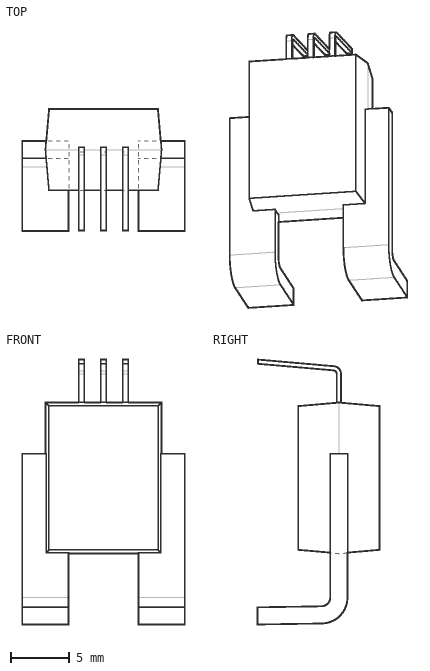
import cadquery as cq
import math

housing_width = 10.0
housing_height = 13.0
housing_depth = 7.0
draft_angle = 5.0
housing_bottom = 6.12
housing_mid = housing_bottom + housing_height / 2
housing_top = housing_bottom + housing_height

leg_width = 4.0
leg_span = 14.0
leg_thickness = 1.5
leg_top = 14.72
leg_inner_radius = 0.75
leg_end = -7.01
leg_bottom = 0
foot_slope = -0.9

pin_count = 3
pin_pitch = 1.9
pin_width = 0.5
pin_thickness = 0.381
pin_inner_radius = 0.3
pin_end = -6.98
pin_slope = 5.0
pin_top = 22.82
pin_bottom = housing_top


def bent_strip(width, thickness, inner_radius, start, bend, tip, slope, side):
    """Strip centred on X = 0, running along Z from start and then bending toward -Y.

    bend is the Z level of the bend centre. side is +1 when the strip bends at its
    upper end and -1 when it bends at its lower end. slope is the rise, in degrees,
    of the bent stretch toward its vertically cut tip.
    """
    rise = math.radians(slope)
    outer_radius = inner_radius + thickness
    center = thickness / 2 - outer_radius

    def on_bend(radius, angle):
        return (center + radius * math.cos(angle), bend + side * radius * math.sin(angle))

    def at_tip(point):
        return (tip, point[1] + (point[0] - tip) * math.tan(rise))

    end_angle = math.pi / 2 - side * rise
    outer_end = on_bend(outer_radius, end_angle)
    inner_end = on_bend(inner_radius, end_angle)
    return (
        cq.Workplane("YZ", origin=(-width / 2, 0, 0))
        .moveTo(thickness / 2, start)
        .lineTo(*on_bend(outer_radius, 0))
        .threePointArc(on_bend(outer_radius, end_angle / 2), outer_end)
        .lineTo(*at_tip(outer_end))
        .lineTo(*at_tip(inner_end))
        .lineTo(*inner_end)
        .threePointArc(on_bend(inner_radius, end_angle / 2), on_bend(inner_radius, 0))
        .lineTo(-thickness / 2, start)
        .close()
        .extrude(width)
    )


def bend_level(thickness, inner_radius, extreme, tip, slope, side):
    """Z level of the bend centre that puts the outer corner of the tip at extreme."""
    rise = math.radians(slope)
    outer_radius = inner_radius + thickness
    center = thickness / 2 - outer_radius
    return extreme - side * outer_radius / math.cos(rise) - (center - tip) * math.tan(rise)


def make_leg(x):
    bend = bend_level(leg_thickness, leg_inner_radius, leg_bottom, leg_end, foot_slope, -1)
    leg = bent_strip(
        leg_width, leg_thickness, leg_inner_radius, leg_top, bend, leg_end, foot_slope, -1
    )
    return leg.translate((x, 0, 0))


def make_housing():
    """Moulded block with both power legs fused into it."""
    front_half = (
        cq.Workplane("XZ", origin=(0, 0, housing_mid))
        .rect(housing_width, housing_height)
        .extrude(housing_depth / 2, taper=draft_angle)
    )
    housing = front_half.union(front_half.mirror("XZ"))
    leg_offset = (leg_span - leg_width) / 2
    for side in (-1, 1):
        housing = housing.union(make_leg(side * leg_offset))
    return housing


def make_pin(x):
    bend = bend_level(pin_thickness, pin_inner_radius, pin_top, pin_end, pin_slope, 1)
    pin = bent_strip(
        pin_width, pin_thickness, pin_inner_radius, pin_bottom, bend, pin_end, pin_slope, 1
    )
    return pin.translate((x, 0, 0))


housing = make_housing()
pins = []
for index in range(pin_count):
    pin_x = (index - (pin_count - 1) / 2) * pin_pitch
    pins.append(make_pin(pin_x))

result = cq.Compound.makeCompound([housing.val(), *[pin.val() for pin in pins]])